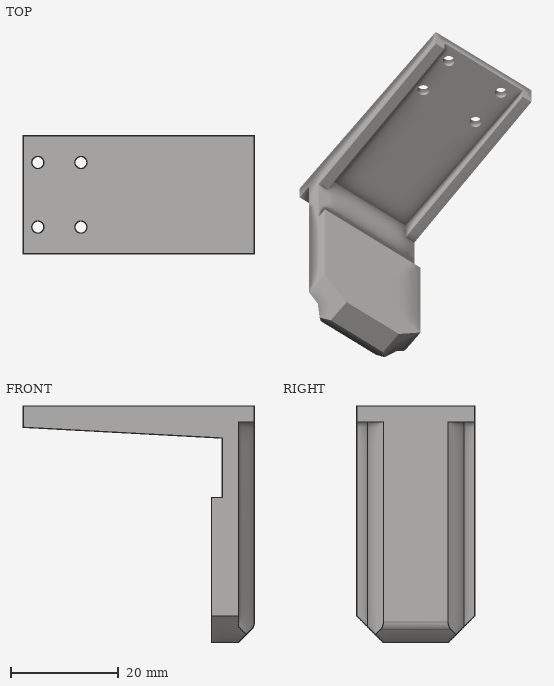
import cadquery as cq

LENGTH = 43.0
WIDTH = 22.0
HEIGHT = 44.0

PLATE_TIP_HEIGHT = 4.0
PLATE_ROOT_HEIGHT = 6.0
RAIL_THICKNESS = 2.0
CHANNEL_ROOF = 2.0

LEG_BACK_X = 40.0
LEG_NECK_X = 37.0
LEG_FRONT_X = 35.0
LEG_STEP_DROP = 17.0
CORNER_CHAMFER = 5.0

PAD_TOP_DROP = 3.0
PAD_SIDE_INSET = 2.0
PAD_EDGE_RADIUS = 2.0
PAD_HEIGHT = LENGTH - LEG_BACK_X

HOLE_DIAMETER = 2.2
HOLE_FIRST_X = 2.75
HOLE_PITCH_X = 8.0
HOLE_PITCH_Y = 12.0


def extrude_across(points, width):
    """Extrude an X-Z outline symmetrically about the Y = 0 plane."""
    return cq.Workplane("XZ").polyline(points).close().extrude(width / 2, both=True)


def make_bracket():
    """L-shaped body: tapered plate, leg with a stepped front, plain flat back."""
    outline = [
        (0, 0),
        (LENGTH, 0),
        (LENGTH, -PAD_TOP_DROP),
        (LEG_BACK_X, -PAD_TOP_DROP),
        (LEG_BACK_X, -HEIGHT),
        (LEG_FRONT_X, -HEIGHT),
        (LEG_FRONT_X, -LEG_STEP_DROP),
        (LEG_NECK_X, -LEG_STEP_DROP),
        (LEG_NECK_X, -PLATE_ROOT_HEIGHT),
        (0, -PLATE_TIP_HEIGHT),
    ]
    return extrude_across(outline, WIDTH)


def make_pad():
    """Back pad whose sides and bottom slope inward at 45 degrees, with a rounded lower outer edge."""
    side_outline = [
        (LEG_BACK_X, -PAD_TOP_DROP),
        (LENGTH, -PAD_TOP_DROP),
        (LENGTH, -HEIGHT + PAD_HEIGHT),
        (LEG_BACK_X, -HEIGHT),
    ]
    base_half = WIDTH / 2 - PAD_SIDE_INSET
    outer_half = base_half - PAD_HEIGHT
    plan_outline = [
        (LEG_BACK_X, -base_half),
        (LENGTH, -outer_half),
        (LENGTH, outer_half),
        (LEG_BACK_X, base_half),
    ]
    plan = cq.Workplane("XY").polyline(plan_outline).close().extrude(-HEIGHT)
    pad = extrude_across(side_outline, WIDTH).intersect(plan)
    return pad.faces(">X").edges("<Z").fillet(PAD_EDGE_RADIUS)


def make_channel():
    """Channel under the plate, between the side rails, ending at the leg."""
    return cq.Workplane("XY").box(
        LEG_NECK_X,
        WIDTH - 2 * RAIL_THICKNESS,
        PLATE_ROOT_HEIGHT - CHANNEL_ROOF,
        centered=(False, True, False),
    ).translate((0, 0, -PLATE_ROOT_HEIGHT))


def make_corner(side):
    """Triangular prism that cuts one lower corner of the leg; side is +1 or -1."""
    edge_y = side * WIDTH / 2
    return (
        cq.Workplane("YZ", origin=(LEG_FRONT_X, 0, 0))
        .moveTo(edge_y, -HEIGHT)
        .lineTo(edge_y, -HEIGHT + CORNER_CHAMFER)
        .lineTo(edge_y - side * CORNER_CHAMFER, -HEIGHT)
        .close()
        .extrude(LENGTH - LEG_FRONT_X)
    )


def make_holes():
    """Four through holes near the free end of the plate."""
    centre_x = HOLE_FIRST_X + HOLE_PITCH_X / 2
    return (
        cq.Workplane("XY")
        .center(centre_x, 0)
        .rarray(HOLE_PITCH_X, HOLE_PITCH_Y, 2, 2)
        .circle(HOLE_DIAMETER / 2)
        .extrude(-PLATE_ROOT_HEIGHT)
    )


result = make_bracket().union(make_pad()).cut(make_channel()).cut(make_holes())
for side in (-1, 1):
    result = result.cut(make_corner(side))